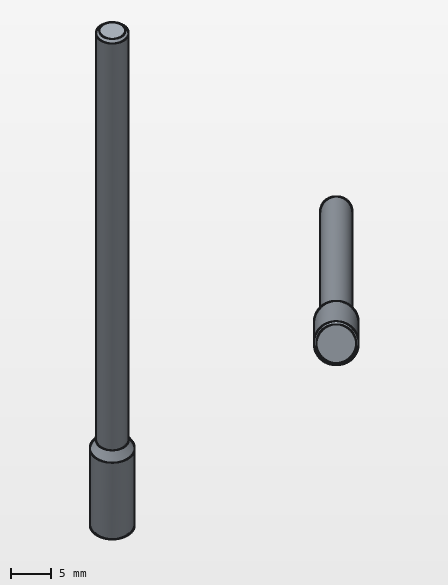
import cadquery as cq

TOTAL_LENGTH = 80.0
ROD_DIAMETER = 4.0
HEAD_DIAMETER = 5.5
HEAD_LENGTH = 14.0
SHOULDER_HEIGHT = 1.4
ROD_TIP_CHAMFER = 0.4
HEAD_FOOT_CHAMFER = 0.3

ROD_LENGTH = TOTAL_LENGTH - HEAD_LENGTH
ROD_RADIUS = ROD_DIAMETER / 2
HEAD_RADIUS = HEAD_DIAMETER / 2


def make_head():
    """Turned head standing on Z = 0, with a chamfered foot and a conical shoulder."""
    profile = (
        cq.Workplane("XZ")
        .moveTo(0, 0)
        .lineTo(HEAD_RADIUS - HEAD_FOOT_CHAMFER, 0)
        .lineTo(HEAD_RADIUS, HEAD_FOOT_CHAMFER)
        .lineTo(HEAD_RADIUS, HEAD_LENGTH - SHOULDER_HEIGHT)
        .lineTo(ROD_RADIUS, HEAD_LENGTH)
        .lineTo(0, HEAD_LENGTH)
        .close()
    )
    return profile.revolve(360, (0, 0, 0), (0, 1, 0))


def make_rod():
    """Straight rod resting on the flat end of the head, chamfered at its free tip."""
    return (
        cq.Workplane("XY", origin=(0, 0, HEAD_LENGTH))
        .circle(ROD_RADIUS)
        .extrude(ROD_LENGTH)
        .faces(">Z")
        .chamfer(ROD_TIP_CHAMFER)
    )


head = make_head()
rod = make_rod()

result = cq.Compound.makeCompound([head.val(), rod.val()])